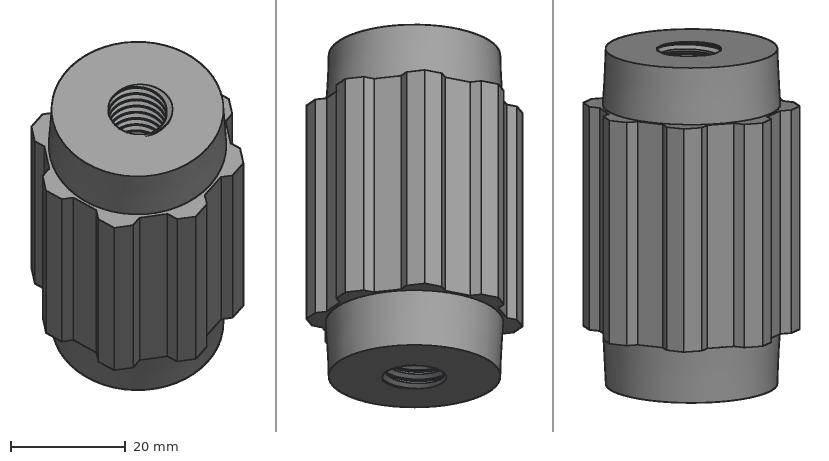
import cadquery as cq
import math

total_height = 60
boss_height = 10.0
boss_end_diameter = 30
boss_base_diameter = 31.0

side_count = 8
side_angle = 360 / side_count
grip_width = 35.0
groove_depth = 1.45
groove_floor_width = 4.9
groove_wall_angle = 45

hole_diameter = 10.25
thread_diameter = 12.25
thread_pitch = 1.75
thread_turns = 9
thread_start_angle = 25
hole_depth = 18
drill_point_angle = 118
thread_flank_angle = 30
thread_root_flat = thread_pitch / 8
cutter_overlap = 0.1

half_height = total_height / 2
grip_height = total_height - 2 * boss_height
hole_radius = hole_diameter / 2


def make_grip():
    """Octagonal prism with a flared flat-bottomed groove on every side."""
    apothem = grip_width / 2
    corner_diameter = grip_width / math.cos(math.radians(side_angle / 2))
    grip = (
        cq.Workplane("XY")
        .workplane(offset=-grip_height / 2)
        .transformed(rotate=(0, 0, side_angle / 2))
        .polygon(side_count, corner_diameter)
        .extrude(grip_height)
    )
    floor_x = apothem - groove_depth
    outer_x = apothem + groove_depth
    floor_y = groove_floor_width / 2
    outer_y = floor_y + (outer_x - floor_x) * math.tan(math.radians(groove_wall_angle))
    groove = (
        cq.Workplane("XY")
        .workplane(offset=-grip_height / 2)
        .polyline([
            (floor_x, -floor_y),
            (outer_x, -outer_y),
            (outer_x, outer_y),
            (floor_x, floor_y),
        ])
        .close()
        .extrude(grip_height)
    )
    for side in range(side_count):
        grip = grip.cut(groove.rotate((0, 0, 0), (0, 0, 1), side * side_angle))
    return grip


def make_core():
    """Round core whose two ends taper slightly towards the end faces."""
    end_radius = boss_end_diameter / 2
    base_radius = boss_base_diameter / 2
    shoulder_z = grip_height / 2
    return (
        cq.Workplane("XZ")
        .moveTo(0, -half_height)
        .lineTo(end_radius, -half_height)
        .lineTo(base_radius, -shoulder_z)
        .lineTo(base_radius, shoulder_z)
        .lineTo(end_radius, half_height)
        .lineTo(0, half_height)
        .close()
        .revolve(360, (0, 0, 0), (0, 1, 0))
    )


def make_drilled_hole():
    """Cutter for the plain bore and its drill point, open at the top face."""
    bore_end_z = half_height - hole_depth
    point_depth = hole_radius / math.tan(math.radians(drill_point_angle / 2))
    return (
        cq.Workplane("XZ")
        .moveTo(0, half_height)
        .lineTo(hole_radius, half_height)
        .lineTo(hole_radius, bore_end_z)
        .lineTo(0, bore_end_z - point_depth)
        .close()
        .revolve(360, (0, 0, 0), (0, 1, 0))
    )


def make_thread_groove():
    """Helical cutter for the thread, running one turn past the top face."""
    start_z = half_height - thread_turns * thread_pitch
    root_radius = thread_diameter / 2
    inner_radius = hole_radius - cutter_overlap
    root_half = thread_root_flat / 2
    mouth_half = root_half + (root_radius - inner_radius) * math.tan(math.radians(thread_flank_angle))
    helix = cq.Wire.makeHelix(thread_pitch, (thread_turns + 1) * thread_pitch, hole_radius)
    groove = (
        cq.Workplane("XZ")
        .polyline([
            (inner_radius, -mouth_half),
            (root_radius, -root_half),
            (root_radius, root_half),
            (inner_radius, mouth_half),
        ])
        .close()
        .sweep(cq.Workplane(helix), isFrenet=True)
    )
    return groove.rotate((0, 0, 0), (0, 0, 1), thread_start_angle).translate((0, 0, start_z))


result = make_core().union(make_grip())

hole_cutters = (make_thread_groove(), make_drilled_hole())
for end_angle in (0, 180):
    for cutter in hole_cutters:
        result = result.cut(cutter.rotate((0, 0, 0), (1, 0, 0), end_angle))